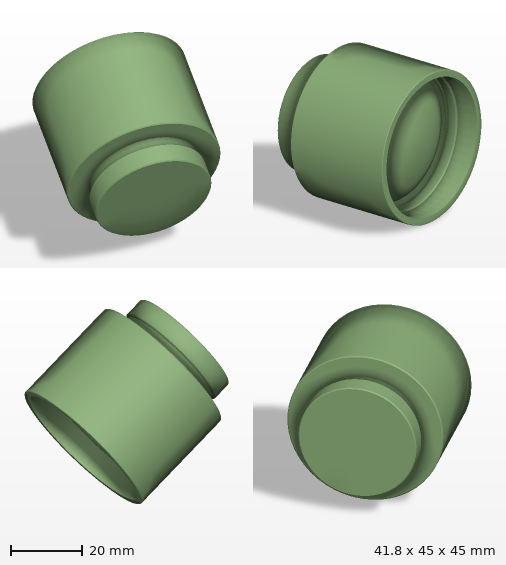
import cadquery as cq

outer_diameter = 45
total_length = 41.75
body_length = 32.75
neck_diameter = 32.4
flange_diameter = 34.0
flange_length = 6.0
edge_chamfer = 0.3
front_chamfer = 0.2

entry_diameter = 41.0
entry_depth = 6.85
lip_outer_diameter = 40.5
lip_diameter = 39.8
lip_end_depth = 9.68
relief_width = 0.65
seat_diameter = 39.1
seat_end_depth = 10.8
cone_end_diameter = 37.0
cone_end_depth = 11.4

lens_diameter = 35.8
lens_edge_depth = 10.7
lens_apex_depth = 4.8

front_x = -total_length / 2


def cylinder(start, length, diameter):
    """Cylinder about X, starting at a depth behind the front face."""
    plane = cq.Workplane("YZ", origin=(front_x + start, 0, 0))
    return plane.circle(diameter / 2).extrude(length)


def make_barrel():
    body = cylinder(0, body_length, outer_diameter)
    body = body.faces("<X").chamfer(front_chamfer).faces(">X").chamfer(edge_chamfer)
    neck = cylinder(body_length, total_length - body_length, neck_diameter)
    flange = cylinder(total_length - flange_length, flange_length, flange_diameter)
    flange = flange.faces("<X or >X").chamfer(edge_chamfer)
    return body.union(neck).union(flange)


def make_bore():
    """Revolved cavity, bounded at the back by the domed lens face."""
    lens_radius = lens_diameter / 2
    sag = lens_edge_depth - lens_apex_depth
    sphere_radius = (lens_radius**2 + sag**2) / (2 * sag)
    mid_radius = lens_radius / 2
    mid_sag = sphere_radius - (sphere_radius**2 - mid_radius**2) ** 0.5
    lip_chamfer = (lip_outer_diameter - lip_diameter) / 2
    relief_end = lip_end_depth + relief_width
    profile = (
        cq.Workplane("XY", origin=(front_x, 0, 0))
        .moveTo(0, 0)
        .lineTo(0, entry_diameter / 2)
        .lineTo(entry_depth, entry_diameter / 2)
        .lineTo(entry_depth, lip_outer_diameter / 2)
        .lineTo(entry_depth + lip_chamfer, lip_diameter / 2)
        .lineTo(lip_end_depth, lip_diameter / 2)
        .lineTo(lip_end_depth, lip_outer_diameter / 2)
        .lineTo(relief_end, lip_outer_diameter / 2)
        .lineTo(relief_end, seat_diameter / 2)
        .lineTo(seat_end_depth, seat_diameter / 2)
        .lineTo(cone_end_depth, cone_end_diameter / 2)
        .lineTo(lens_edge_depth, lens_radius)
        .threePointArc((lens_apex_depth + mid_sag, mid_radius), (lens_apex_depth, 0))
        .close()
    )
    return profile.revolve(360, (0, 0, 0), (1, 0, 0))


result = make_barrel().cut(make_bore())